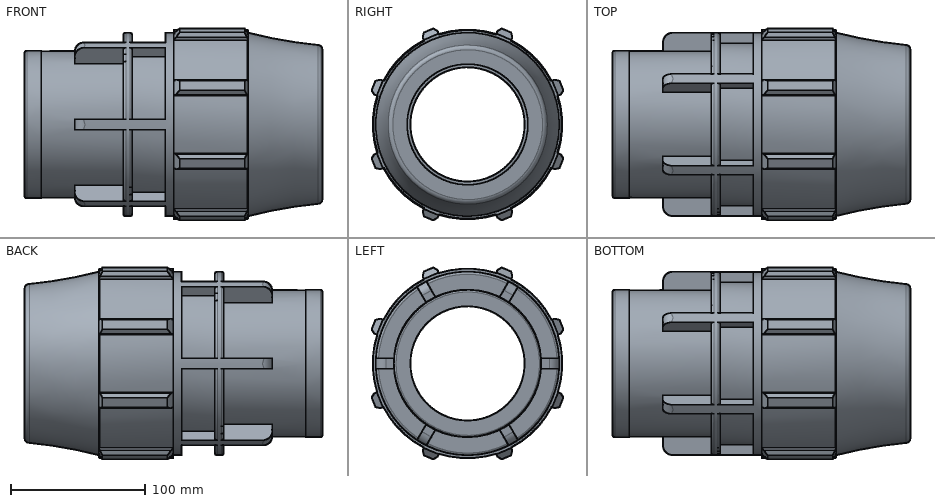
import cadquery as cq
import math


total_length = 222.0
lead_length = 12.4
rib_start = 37.5
stop_depth = 40.0
flange_start = 73.6
flange_end = 80.3
collar_start = 105.0
nut_start = 111.2
nut_end = 166.7

bore_radius = 84.93 / 2
socket_radius = 90.0 / 2
spigot_radius = 109.44 / 2
lead_radius = 55.0
lead_rounding = 1.6
neck_radius = 60.75
collar_radius = 136.8 / 2
flange_rounding = 1.8
nut_radius = 70.7
nut_edge_chamfer = 0.6
taper_start_radius = 68.4
taper_middle_radius = 62.8
taper_end_radius = 59.3
mouth_rounding = 3.5

rib_count = 6
rib_thickness = 8.0
rib_corner_radius = 7.5

lug_count = 8
lug_height_radius = 75.81
lug_shoulder_radius = 72.7
lug_base_width = 12.2
lug_top_width = 7.7
lug_front_slope = 4.3
lug_back_slope = 2.7

overlap = 2.0


def ring(start, end, radius):
    """Solid cylinder on the X axis between two stations."""
    return cq.Workplane("YZ").workplane(offset=start).circle(radius).extrude(end - start)


def make_spigot():
    lead = ring(0, lead_length, lead_radius).faces("<X").edges().fillet(lead_rounding)
    tube = ring(lead_length, flange_start, spigot_radius)
    neck = ring(flange_start, collar_start, neck_radius)
    flange = ring(flange_start, flange_end, collar_radius).edges().fillet(flange_rounding)
    collar = ring(collar_start, nut_start, collar_radius)
    return lead.union(tube).union(neck).union(flange).union(collar)


def make_nut():
    """Cylindrical grip band followed by a slightly concave taper with a rounded mouth."""
    band = ring(nut_start, nut_end, nut_radius).faces(">X").edges().chamfer(nut_edge_chamfer)
    taper_end = total_length - mouth_rounding
    mouth_radius = taper_end_radius - mouth_rounding
    arc_offset = mouth_rounding * math.sqrt(0.5)
    taper = (
        cq.Workplane("XY")
        .moveTo(nut_end, 0)
        .lineTo(nut_end, taper_start_radius)
        .threePointArc(((nut_end + taper_end) / 2, taper_middle_radius), (taper_end, taper_end_radius))
        .threePointArc((taper_end + arc_offset, mouth_radius + arc_offset), (total_length, mouth_radius))
        .lineTo(total_length, 0)
        .close()
        .revolve(360, (0, 0, 0), (1, 0, 0))
    )
    return band.union(taper)


def make_ribs():
    """Radial ribs running along the spigot, flush with the collar."""
    base_radius = spigot_radius - overlap
    plate = (
        cq.Workplane("XY")
        .moveTo(rib_start, base_radius)
        .lineTo(rib_start, collar_radius)
        .lineTo(collar_start, collar_radius)
        .lineTo(collar_start, base_radius)
        .close()
        .extrude(rib_thickness / 2, both=True)
        .edges("<X and >Y")
        .fillet(rib_corner_radius)
    )
    ribs = cq.Workplane("XY")
    for index in range(rib_count):
        ribs = ribs.union(plate.rotate((0, 0, 0), (1, 0, 0), index * 360 / rib_count))
    return ribs.intersect(ring(rib_start, collar_start, collar_radius))


def make_lug():
    """Grip lug at +Y with bevelled sides and sloping ends."""
    base_radius = nut_radius - overlap
    section = (
        cq.Workplane("YZ")
        .workplane(offset=nut_start)
        .moveTo(base_radius, -lug_base_width / 2)
        .lineTo(lug_shoulder_radius, -lug_base_width / 2)
        .lineTo(lug_height_radius, -lug_top_width / 2)
        .lineTo(lug_height_radius, lug_top_width / 2)
        .lineTo(lug_shoulder_radius, lug_base_width / 2)
        .lineTo(base_radius, lug_base_width / 2)
        .close()
        .extrude(nut_end - nut_start)
    )
    side_shape = (
        cq.Workplane("XY")
        .moveTo(nut_start, base_radius)
        .lineTo(nut_start, nut_radius)
        .lineTo(nut_start + lug_front_slope, lug_height_radius)
        .lineTo(nut_end - lug_back_slope, lug_height_radius)
        .lineTo(nut_end, nut_radius)
        .lineTo(nut_end, base_radius)
        .close()
        .extrude(lug_base_width, both=True)
    )
    return section.intersect(side_shape)


def make_lugs():
    lug = make_lug()
    pitch = 360 / lug_count
    lugs = cq.Workplane("XY")
    for index in range(lug_count):
        lugs = lugs.union(lug.rotate((0, 0, 0), (1, 0, 0), (index + 0.5) * pitch))
    return lugs


outside = make_spigot().union(make_nut()).union(make_ribs()).union(make_lugs())
result = outside.cut(ring(0, stop_depth, bore_radius)).cut(ring(stop_depth, total_length, socket_radius))